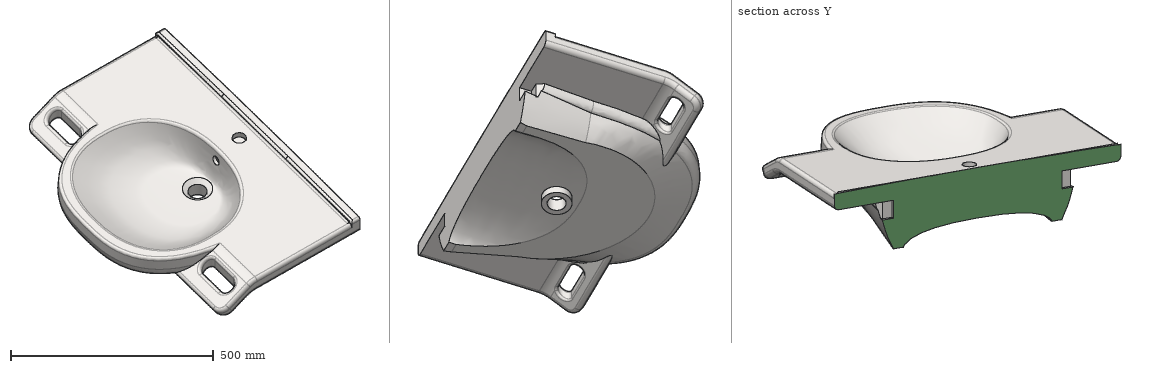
import cadquery as cq
import math


WIDTH = 798.6
DEPTH = 551.96
HEIGHT = 184.06
HALF_WIDTH = WIDTH / 2

SLAB_THICKNESS = 42.0
BEND_START = 321.0
BEND_ANGLE = 30.0
TOP_BEND_RADIUS = 52.0
LOWER_BEND_RADIUS = 62.0
EAR_TIP_Y = -437.7
EAR_INNER_X = 165.0
EAR_CORNER_RADIUS = 30.0
DECK_EDGE_RADIUS = 10.0
UNDERSIDE_EDGE_RADIUS = 13.0

SLOT_X = 312.0
SLOT_Y = -374.5
SLOT_LENGTH = 111.0
SLOT_WIDTH = 35.0
SLOT_RIM_RADIUS = 8.5
SLOT_LOWER_RIM_RADIUS = 6.0

UPSTAND_HEIGHT = 13.0
UPSTAND_END_HEIGHT = 8.5
UPSTAND_DEPTH = 26.0
UPSTAND_EDGE_RADIUS = 7.0
UPSTAND_COVE = 6.0

BODY_SPLIT = 187.0
RIM_HALF_WIDTH = 265.0
RIM_DRAFT = 2.5
RIM_TOP_RADIUS = 8.0
RIM_WIDEST_Z = -36.0
RIM_BOTTOM_Z = -67.0
RIM_BOTTOM_INSET = 18.0
RIM_EXPONENT = 2.7
RIM_ROUND_STEPS = 4
WALL_HALF_WIDTH = 275.0

BODY_BULGE = 4.5
FEET_Z = UPSTAND_HEIGHT - HEIGHT
UNDERSIDE_WALL_Z = FEET_Z - 3.5
UNDERSIDE_HALF_WIDTH = 213.0
UNDERSIDE_REACH = 450.0
UNDERSIDE_FRONT_Z = -92.5
UNDERSIDE_EXPONENT = 2.0
UNDERSIDE_WALL_HALF_WIDTH = 238.0
ARCH_HALF_WIDTH = 209.0
ARCH_TOP_Z = -127.0
ARCH_FOOT_Z = -181.0
ARCH_EXPONENT = 2.4

NOTCH_FLOOR_Z = -88.0
NOTCH_INNER_X = 235.0
NOTCH_STEP_X = 262.0
NOTCH_DEPTH = 32.0
NOTCH_MOUTH_DEPTH = 57.0

BOWL_BACK = 139.0
BOWL_FRONT = 520.0
BOWL_HALF_WIDTH = 216.5
BOWL_EXPONENT = 2.3
BOWL_DEPTH = 100.0
BOWL_PROFILE_POWER = 2.2
BOWL_SECTION_SCALES = (1.0, 0.94, 0.84, 0.68, 0.48, 0.24, 0.0)
BOWL_RIM_RADIUS = 8.5

DRAIN_Y = -201.0
DRAIN_DIAMETER = 47.0
DRAIN_SEAT_DIAMETER = 75.0
DRAIN_SEAT_DEPTH = 10.0
DRAIN_BOSS_DIAMETER = 76.0
DRAIN_BOSS_BOTTOM_Z = -148.5
OVERFLOW_DIAMETER = 24.0
OVERFLOW_Z = -35.0
OVERFLOW_BACK = 135.5
TAP_DIAMETER = 35.0
TAP_Y = -71.0
TAP_DEPTH = 16.0

SIDES = (-1, 1)
QUARTER_POINTS = 12


def superellipse_point(half_x, half_y, exponent, angle):
    """Point of an axis-aligned superellipse about the origin."""
    cosine = math.cos(angle)
    sine = math.sin(angle)
    x = math.copysign(abs(cosine) ** (2 / exponent), cosine) * half_x
    y = math.copysign(abs(sine) ** (2 / exponent), sine) * half_y
    return x, y


def front_curve(half_width, reach, exponent, height_at):
    """Half superellipse running from +X round the front to -X, starting at BODY_SPLIT."""
    points = []
    for step in range(2 * QUARTER_POINTS + 1):
        angle = -math.pi * step / (2 * QUARTER_POINTS)
        x, y = superellipse_point(half_width, reach - BODY_SPLIT, exponent, angle)
        y -= BODY_SPLIT
        points.append(cq.Vector(x, y, height_at(y)))
    forward = cq.Vector(0, -1, height_at(-1) - height_at(0))
    return cq.Edge.makeSpline(points, tangents=[forward, -forward])


def body_outline(half_width, reach, exponent, wall_half_width, height_at):
    """Closed body outline: the front curve joined to the wall by two straight sides."""
    curve = front_curve(half_width, reach, exponent, height_at)
    right_wall = cq.Vector(wall_half_width, 0, height_at(0))
    left_wall = cq.Vector(-wall_half_width, 0, height_at(0))
    sides = [
        cq.Edge.makeLine(right_wall, curve.startPoint()),
        curve,
        cq.Edge.makeLine(curve.endPoint(), left_wall),
        cq.Edge.makeLine(left_wall, right_wall),
    ]
    return cq.Wire.assembleEdges(sides)


def underside_z(y):
    """Height of the flat sloping underside, falling from its front end to the wall."""
    return UNDERSIDE_WALL_Z + (UNDERSIDE_FRONT_Z - UNDERSIDE_WALL_Z) * -y / UNDERSIDE_REACH


def bend_point(radius, start_z, angle):
    """Point (Y, Z) on a downward bend that starts level at BEND_START."""
    y = -BEND_START - radius * math.sin(angle)
    z = start_z - radius * (1 - math.cos(angle))
    return y, z


def round_edges(shape, points, radius):
    """Fillets the edges that pass closest to the points."""
    edges = []
    for point in points:
        probe = cq.Vertex.makeVertex(*point)
        edges.append(min(shape.edges().vals(), key=probe.distance))
    return shape.newObject(edges).fillet(radius)


def make_deck():
    """Slab whose front is bent down and ends square to its slope, with rounded corners and edges."""
    bend = math.radians(BEND_ANGLE)
    top_mid = bend_point(TOP_BEND_RADIUS, 0, bend / 2)
    top_end = bend_point(TOP_BEND_RADIUS, 0, bend)
    low_mid = bend_point(LOWER_BEND_RADIUS, -SLAB_THICKNESS, bend / 2)
    low_end = bend_point(LOWER_BEND_RADIUS, -SLAB_THICKNESS, bend)
    tip_z = top_end[1] + (EAR_TIP_Y - top_end[0]) * math.tan(bend)
    ear_thickness = (top_end[1] - low_end[1]) * math.cos(bend) - (top_end[0] - low_end[0]) * math.sin(bend)
    low_tip = (EAR_TIP_Y + ear_thickness * math.sin(bend), tip_z - ear_thickness * math.cos(bend))
    slab = (
        cq.Workplane("YZ")
        .moveTo(0, 0)
        .lineTo(-BEND_START, 0)
        .threePointArc(top_mid, top_end)
        .lineTo(EAR_TIP_Y, tip_z)
        .lineTo(*low_tip)
        .lineTo(*low_end)
        .threePointArc(low_mid, (-BEND_START, -SLAB_THICKNESS))
        .lineTo(0, -SLAB_THICKNESS)
        .close()
        .extrude(HALF_WIDTH, both=True)
    )
    end_middle = ((EAR_TIP_Y + low_tip[0]) / 2, (tip_z + low_tip[1]) / 2)
    for side in SIDES:
        slab = round_edges(slab, [(side * HALF_WIDTH, *end_middle)], EAR_CORNER_RADIUS)
    side_middle_y = -BEND_START / 2
    slab = round_edges(slab, [(HALF_WIDTH, side_middle_y, 0)], DECK_EDGE_RADIUS)
    slab = round_edges(slab, [(HALF_WIDTH, side_middle_y, -SLAB_THICKNESS)], UNDERSIDE_EDGE_RADIUS)
    return slab


def cut_grip_slots(deck):
    """Vertical slots through the sloping ears with rounded upper and lower rims."""
    slots = (
        cq.Workplane("XY", origin=(0, 0, -HEIGHT))
        .pushPoints([(side * SLOT_X, SLOT_Y) for side in SIDES])
        .slot2D(SLOT_LENGTH, SLOT_WIDTH)
        .extrude(HEIGHT)
    )
    deck = deck.cut(slots)
    bend = math.radians(BEND_ANGLE)
    top_end = bend_point(TOP_BEND_RADIUS, 0, bend)
    rim_y = SLOT_Y + SLOT_WIDTH / 2
    rim_z = top_end[1] + (rim_y - top_end[0]) * math.tan(bend)
    lower_end = bend_point(LOWER_BEND_RADIUS, -SLAB_THICKNESS, bend)
    lower_rim_z = lower_end[1] + (rim_y - lower_end[0]) * math.tan(bend)
    for side in SIDES:
        deck = round_edges(deck, [(side * SLOT_X, rim_y, rim_z)], SLOT_RIM_RADIUS)
        deck = round_edges(deck, [(side * SLOT_X, rim_y, lower_rim_z)], SLOT_LOWER_RIM_RADIUS)
    return deck


def clear_between_ears(deck):
    """Removes the bent part of the slab from the middle, where the basin body takes over."""
    opening = cq.Workplane("XY").box(2 * EAR_INNER_X, DEPTH, HEIGHT, centered=(True, False, False))
    return deck.cut(opening.translate((0, -BEND_START - DEPTH, -HEIGHT)))


def make_upstand():
    """Low wall along the back, crowned towards the middle, with a cove down to the deck."""
    bar = (
        cq.Workplane("XZ")
        .moveTo(-HALF_WIDTH, -DECK_EDGE_RADIUS)
        .lineTo(-HALF_WIDTH, UPSTAND_END_HEIGHT)
        .threePointArc((0, UPSTAND_HEIGHT), (HALF_WIDTH, UPSTAND_END_HEIGHT))
        .lineTo(HALF_WIDTH, -DECK_EDGE_RADIUS)
        .close()
        .extrude(UPSTAND_DEPTH)
    )
    end_tops = [(side * HALF_WIDTH, -UPSTAND_DEPTH / 2, UPSTAND_END_HEIGHT) for side in SIDES]
    front_top = (0, -UPSTAND_DEPTH, UPSTAND_HEIGHT)
    bar = round_edges(bar, [front_top, *end_tops], UPSTAND_EDGE_RADIUS)
    cove_front = -UPSTAND_DEPTH - UPSTAND_COVE
    cove_sag = UPSTAND_COVE * (1 - math.sqrt(0.5))
    cove = (
        cq.Workplane("YZ")
        .moveTo(-UPSTAND_DEPTH, 0)
        .lineTo(-UPSTAND_DEPTH, UPSTAND_COVE)
        .threePointArc((-UPSTAND_DEPTH - cove_sag, cove_sag), (cove_front, 0))
        .close()
        .extrude(HALF_WIDTH - DECK_EDGE_RADIUS, both=True)
    )
    return bar.union(cove)


def level(z):
    return lambda y: z


def loft(outlines, ruled=True):
    return cq.Workplane(cq.Solid.makeLoft(outlines, ruled))


def make_rim():
    """Front rim: slightly drafted wall with a rounded top edge and a rounded-in lower part."""

    def outline(inset, z):
        return body_outline(
            RIM_HALF_WIDTH - inset, DEPTH - inset, RIM_EXPONENT, WALL_HALF_WIDTH, level(z)
        )

    upper = loft([outline(0, RIM_WIDEST_Z), outline(RIM_DRAFT, 0)])
    upper = round_edges(upper, [(0, RIM_DRAFT - DEPTH, 0)], RIM_TOP_RADIUS)
    rounded = []
    for step in range(RIM_ROUND_STEPS + 1):
        angle = math.pi / 2 * step / RIM_ROUND_STEPS
        inset = RIM_BOTTOM_INSET * (1 - math.cos(angle))
        rounded.append(outline(inset, RIM_WIDEST_Z + (RIM_BOTTOM_Z - RIM_WIDEST_Z) * math.sin(angle)))
    return upper.union(loft(rounded, ruled=False))


def make_lower_body():
    """Body below the rim, tapering to the sloping underside and arched open in the middle."""
    rim_bottom = body_outline(
        RIM_HALF_WIDTH - RIM_BOTTOM_INSET,
        DEPTH - RIM_BOTTOM_INSET,
        RIM_EXPONENT,
        WALL_HALF_WIDTH,
        level(RIM_BOTTOM_Z),
    )
    underside = body_outline(
        UNDERSIDE_HALF_WIDTH, UNDERSIDE_REACH, UNDERSIDE_EXPONENT, UNDERSIDE_WALL_HALF_WIDTH, underside_z
    )
    middle = body_outline(
        (RIM_HALF_WIDTH - RIM_BOTTOM_INSET + UNDERSIDE_HALF_WIDTH) / 2 + BODY_BULGE,
        (DEPTH - RIM_BOTTOM_INSET + UNDERSIDE_REACH) / 2 + BODY_BULGE,
        (RIM_EXPONENT + UNDERSIDE_EXPONENT) / 2,
        (WALL_HALF_WIDTH + UNDERSIDE_WALL_HALF_WIDTH) / 2 + BODY_BULGE,
        lambda y: (RIM_BOTTOM_Z + underside_z(y)) / 2,
    )
    arch_points = []
    for step in range(2 * QUARTER_POINTS + 1):
        angle = math.pi / 2 * step / QUARTER_POINTS
        x, z = superellipse_point(ARCH_HALF_WIDTH, ARCH_TOP_Z - ARCH_FOOT_Z, ARCH_EXPONENT, angle)
        arch_points.append((x, z + ARCH_FOOT_Z))
    arch = cq.Workplane("XZ").spline(arch_points).close().extrude(DEPTH)
    below_feet = (
        cq.Workplane("XY", origin=(0, 0, FEET_Z - HEIGHT))
        .box(WIDTH, 2 * DEPTH, HEIGHT, centered=(True, True, False))
    )
    body = loft([rim_bottom, middle, underside], ruled=False)
    return body.cut(arch).cut(below_feet)


def make_mounting_notches():
    """Pockets beside the wall in both body sides, with a front face that flares outwards."""
    right = (
        cq.Workplane("XY", origin=(0, 0, NOTCH_FLOOR_Z))
        .moveTo(NOTCH_INNER_X, 0)
        .lineTo(NOTCH_INNER_X, -NOTCH_DEPTH)
        .lineTo(NOTCH_STEP_X, -NOTCH_DEPTH)
        .lineTo(WALL_HALF_WIDTH, -NOTCH_MOUTH_DEPTH)
        .lineTo(WALL_HALF_WIDTH, 0)
        .close()
        .extrude(-SLAB_THICKNESS - NOTCH_FLOOR_Z)
    )
    return right.union(right.mirror("YZ"))


def make_bowl():
    """Hollow of the bowl: its levels change from the rim shape to the round drain seat."""
    drain_radius = DRAIN_SEAT_DIAMETER / 2
    rim_y = -(BOWL_BACK + BOWL_FRONT) / 2
    rim_half_length = (BOWL_FRONT - BOWL_BACK) / 2
    sections = []
    for scale in BOWL_SECTION_SCALES:
        half_width = drain_radius + scale * (BOWL_HALF_WIDTH - drain_radius)
        half_length = drain_radius + scale * (rim_half_length - drain_radius)
        exponent = 2 + scale * (BOWL_EXPONENT - 2)
        centre_y = DRAIN_Y + scale * (rim_y - DRAIN_Y)
        z = -BOWL_DEPTH * (1 - scale**BOWL_PROFILE_POWER)
        points = []
        for step in range(4 * QUARTER_POINTS):
            angle = math.pi / 2 * step / QUARTER_POINTS
            x, y = superellipse_point(half_width, half_length, exponent, angle)
            points.append(cq.Vector(x, y + centre_y, z))
        sections.append(cq.Wire.assembleEdges([cq.Edge.makeSpline(points, periodic=True)]))
    return loft(sections, ruled=False)


def vertical_cylinder(diameter, y, bottom_z, top_z):
    return cq.Workplane("XY", origin=(0, y, bottom_z)).circle(diameter / 2).extrude(top_z - bottom_z)


def add_drain(basin):
    """Boss under the bowl, a conical seat at the bowl bottom and the through hole."""
    seat_bottom_z = -BOWL_DEPTH - DRAIN_SEAT_DEPTH
    boss = vertical_cylinder(DRAIN_BOSS_DIAMETER, DRAIN_Y, DRAIN_BOSS_BOTTOM_Z, seat_bottom_z)
    hole = vertical_cylinder(DRAIN_DIAMETER, DRAIN_Y, -HEIGHT, seat_bottom_z)
    seat = cq.Workplane(
        cq.Solid.makeCone(
            DRAIN_DIAMETER / 2,
            DRAIN_SEAT_DIAMETER / 2,
            DRAIN_SEAT_DEPTH,
            cq.Vector(0, DRAIN_Y, seat_bottom_z),
        )
    )
    return basin.union(boss).cut(seat).cut(hole)


def cut_overflow(basin):
    """Level blind hole in the back wall of the bowl."""
    hole = (
        cq.Workplane("XZ", origin=(0, -OVERFLOW_BACK, OVERFLOW_Z))
        .circle(OVERFLOW_DIAMETER / 2)
        .extrude(-DRAIN_Y - OVERFLOW_BACK)
    )
    return basin.cut(hole)


def cut_tap_hole(basin):
    """Blind hole in the deck behind the bowl."""
    return basin.cut(vertical_cylinder(TAP_DIAMETER, TAP_Y, -TAP_DEPTH, 0))


def cut_bowl(basin):
    """Hollows out the bowl and rounds its rim."""
    basin = basin.cut(make_bowl())
    return round_edges(basin, [(0, -BOWL_FRONT, 0)], BOWL_RIM_RADIUS)


deck = clear_between_ears(cut_grip_slots(make_deck()))
body = make_rim().union(make_lower_body()).cut(make_mounting_notches())
basin = deck.union(make_upstand()).union(body)
basin = cut_bowl(basin)
basin = add_drain(basin)
basin = cut_overflow(basin)
result = cut_tap_hole(basin)